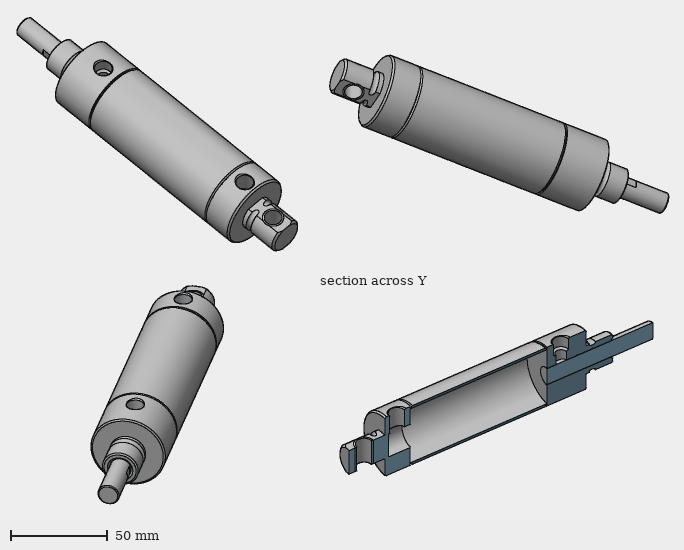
import cadquery as cq
import math


stud_end = 19.0
nose_start = 25.3
head_start = 42.0
tube_start = 66.7
tube_end = 152.0
cap_end = 168.2
tang_end = 190.5

rod_diameter = 11.2
rod_tip_chamfer = 0.5
wrench_flat_width = 10.0

barrel_diameter = 39.6
barrel_radius = barrel_diameter / 2
tube_wall = 2.0
tube_chamfer = 1.1
head_chamfer_length = 0.5
head_chamfer_depth = 1.0
cap_chamfer_length = 1.1
cap_chamfer_depth = 0.8
cap_bore_diameter = 15.2
cap_bore_end = 165.7

thread_diameter = 19.0
thread_radius = thread_diameter / 2
nose_chamfer_length = 0.5
nose_chamfer_depth = 1.0
nose_countersink_diameter = 13.5
tang_chamfer = 1.1
tang_thickness = 16.0

groove_floor_diameter = 16.5
groove_floor_radius = groove_floor_diameter / 2
groove_depth = thread_radius - groove_floor_radius
nose_groove_center = 38.1
nose_groove_floor_length = 1.3
tang_groove_center = 172.4
tang_groove_floor_length = 0.8

head_port_x = 57.7
cap_port_x = 160.4
port_diameter = 9.1
port_mouth_diameter = 10.7
port_mouth_depth = 0.8
air_passage_diameter = 6.3
drill_point_angle = 118
head_port_depth = 7.6

pivot_x = 181.0
bushing_outer_diameter = 11.0
bushing_inner_diameter = 9.1


def axial_rod(diameter, start, end):
    """Round bar along X between two stations."""
    return cq.Workplane("YZ", origin=(start, 0, 0)).circle(diameter / 2).extrude(end - start)


def spin(outline):
    """Turn a closed outline drawn in XY around the X axis."""
    return outline.close().revolve(360, (0, 0, 0), (1, 0, 0))


def upright_cone(x, z_low, low_diameter, high_diameter, height):
    """Vertical cone frustum on the axis plane, standing on z_low."""
    cone = cq.Solid.makeCone(
        low_diameter / 2, high_diameter / 2, height, cq.Vector(x, 0, z_low), cq.Vector(0, 0, 1)
    )
    return cq.Workplane(obj=cone)


def relief_groove(center, floor_length):
    """Ring that cuts a relief groove with quarter-round sides."""
    quarter = math.sqrt(0.5) * groove_depth
    floor_start = center - floor_length / 2
    floor_end = center + floor_length / 2
    return spin(
        cq.Workplane("XY")
        .moveTo(floor_start - groove_depth, thread_radius)
        .threePointArc((floor_start - quarter, thread_radius - quarter), (floor_start, groove_floor_radius))
        .lineTo(floor_end, groove_floor_radius)
        .threePointArc((floor_end + quarter, thread_radius - quarter), (floor_end + groove_depth, thread_radius))
    )


def port_cutter(x, floor_z):
    """Straight port bore from floor_z upwards with a flared mouth."""
    bore = (
        cq.Workplane("XY", origin=(x, 0, floor_z))
        .circle(port_diameter / 2)
        .extrude(barrel_radius - floor_z)
    )
    mouth = upright_cone(
        x, barrel_radius - port_mouth_depth, port_diameter, port_mouth_diameter, port_mouth_depth
    )
    return bore.union(mouth)


def make_rod():
    """Piston rod with two wrench flats on the exposed neck; it ends flush with the head."""
    rod = axial_rod(rod_diameter, 0, tube_start).faces("<X").chamfer(rod_tip_chamfer)
    neck_length = nose_start - stud_end
    flat_offset = (wrench_flat_width + rod_diameter) / 2
    for side in (-1, 1):
        flat = cq.Workplane("XY").box(neck_length, rod_diameter, rod_diameter)
        rod = rod.cut(flat.translate((stud_end + neck_length / 2, side * flat_offset, 0)))
    return rod


def make_head():
    """Front head with its threaded nose, rod bore and air port."""
    head = spin(
        cq.Workplane("XY")
        .moveTo(nose_start, 0)
        .lineTo(nose_start, thread_radius - nose_chamfer_depth)
        .lineTo(nose_start + nose_chamfer_length, thread_radius)
        .lineTo(head_start, thread_radius)
        .lineTo(head_start, barrel_radius - head_chamfer_depth)
        .lineTo(head_start + head_chamfer_length, barrel_radius)
        .lineTo(tube_start, barrel_radius)
        .lineTo(tube_start, 0)
    )
    head = head.cut(relief_groove(nose_groove_center, nose_groove_floor_length))

    head = head.cut(axial_rod(rod_diameter, nose_start, tube_start))
    countersink_depth = (nose_countersink_diameter - rod_diameter) / 2
    countersink = spin(
        cq.Workplane("XY")
        .moveTo(nose_start, 0)
        .lineTo(nose_start, nose_countersink_diameter / 2)
        .lineTo(nose_start + countersink_depth, rod_diameter / 2)
        .lineTo(nose_start + countersink_depth, 0)
    )
    head = head.cut(countersink)

    port_floor = barrel_radius - head_port_depth
    point_height = (port_diameter - air_passage_diameter) / 2 / math.tan(math.radians(drill_point_angle / 2))
    drill_point = upright_cone(
        head_port_x, port_floor - point_height, air_passage_diameter, port_diameter, point_height
    )
    passage = cq.Workplane("XY", origin=(head_port_x, 0, 0)).circle(air_passage_diameter / 2).extrude(port_floor)
    return head.cut(port_cutter(head_port_x, port_floor)).cut(drill_point).cut(passage)


def make_tube():
    """Plain tube butted between head and rear cap, bevelled at both ends."""
    inner_diameter = barrel_diameter - 2 * tube_wall
    tube = axial_rod(barrel_diameter, tube_start, tube_end).faces("<X or >X").chamfer(tube_chamfer)
    return tube.cut(axial_rod(inner_diameter, tube_start, tube_end))


def pivot_cylinder(diameter):
    """Upright cylinder at the pivot, as tall as the tang is thick."""
    base = cq.Workplane("XY", origin=(pivot_x, 0, -tang_thickness / 2))
    return base.circle(diameter / 2).extrude(tang_thickness)


def make_tang():
    """Threaded pivot tang: flat top and bottom, relief groove and hole for the bushing."""
    tang = axial_rod(thread_diameter, cap_end, tang_end).faces(">X").chamfer(tang_chamfer)
    tang = tang.cut(relief_groove(tang_groove_center, tang_groove_floor_length))
    length = tang_end - cap_end
    slab = cq.Workplane("XY").box(length, thread_diameter, tang_thickness)
    tang = tang.intersect(slab.translate((cap_end + length / 2, 0, 0)))
    return tang.cut(pivot_cylinder(bushing_outer_diameter))


def make_bushing():
    """Pivot bushing, flush with the flats of the tang."""
    return pivot_cylinder(bushing_outer_diameter).cut(pivot_cylinder(bushing_inner_diameter))


def make_rear_cap():
    """Rear cap with air port, blind axial bore and the pivot tang in one piece."""
    cap = spin(
        cq.Workplane("XY")
        .moveTo(tube_end, 0)
        .lineTo(tube_end, barrel_radius)
        .lineTo(cap_end - cap_chamfer_length, barrel_radius)
        .lineTo(cap_end, barrel_radius - cap_chamfer_depth)
        .lineTo(cap_end, 0)
    )
    cap = cap.union(make_tang())
    cap = cap.cut(axial_rod(cap_bore_diameter, tube_end, cap_bore_end))
    return cap.cut(port_cutter(cap_port_x, 0))


rod = make_rod()
head = make_head()
tube = make_tube()
rear_cap = make_rear_cap()
bushing = make_bushing()

result = cq.Compound.makeCompound([rod.val(), head.val(), tube.val(), rear_cap.val(), bushing.val()])